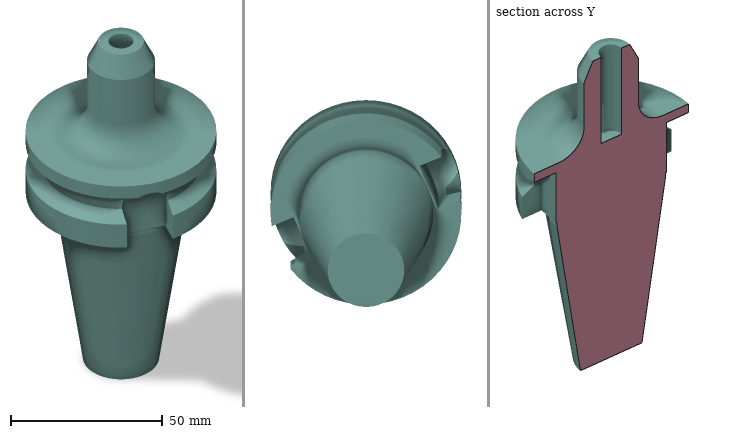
import cadquery as cq
import math

overall_height = 128.9

taper_length = 65.4
taper_large_radius = 22.2
taper_ratio = 7 / 24
taper_small_radius = taper_large_radius - taper_length * taper_ratio / 2

flange_radius = 63.0 / 2
flange_bottom = 67.4
flange_top = 92.4
groove_radius = 26.5
groove_center = 82.1
groove_floor_width = 4.9
groove_flank_angle = 30.0
groove_flank_rise = (flange_radius - groove_radius) * math.tan(math.radians(groove_flank_angle))
groove_floor_bottom = groove_center - groove_floor_width / 2
groove_floor_top = groove_center + groove_floor_width / 2

nose_radius = 11.2
nose_fillet = 10.0
tip_radius = 15.1 / 2
tip_length = 7.7

bore_diameter = 8.2
bore_depth = overall_height - flange_top

slot_width = 16.0
slot_top = 88.5
slot_floor_distance = 22.5


def make_body():
    """Revolve the half profile of the holder about Z."""
    arc_offset = nose_fillet * (1 - math.sqrt(0.5))
    profile = (
        cq.Workplane("XZ")
        .lineTo(taper_small_radius, 0)
        .lineTo(taper_large_radius, taper_length)
        .lineTo(taper_large_radius, flange_bottom)
        .lineTo(flange_radius, flange_bottom)
        .lineTo(flange_radius, groove_floor_bottom - groove_flank_rise)
        .lineTo(groove_radius, groove_floor_bottom)
        .lineTo(groove_radius, groove_floor_top)
        .lineTo(flange_radius, groove_floor_top + groove_flank_rise)
        .lineTo(flange_radius, flange_top)
        .lineTo(nose_radius + nose_fillet, flange_top)
        .threePointArc(
            (nose_radius + arc_offset, flange_top + arc_offset),
            (nose_radius, flange_top + nose_fillet),
        )
        .lineTo(nose_radius, overall_height - tip_length)
        .lineTo(tip_radius, overall_height)
        .lineTo(0, overall_height)
        .close()
    )
    return profile.revolve(360, (0, 0), (0, 1))


def make_bore():
    return (
        cq.Workplane("XY", origin=(0, 0, overall_height))
        .circle(bore_diameter / 2)
        .extrude(-bore_depth)
    )


def make_drive_slot(side):
    """Cutter for one drive slot; side is -1 or +1 along X."""
    half_width = slot_width / 2
    arc_center = slot_top - half_width
    slot_depth = flange_radius - slot_floor_distance
    return (
        cq.Workplane("YZ", origin=(side * slot_floor_distance, 0, 0))
        .moveTo(-half_width, flange_bottom)
        .lineTo(half_width, flange_bottom)
        .lineTo(half_width, arc_center)
        .threePointArc((0, slot_top), (-half_width, arc_center))
        .close()
        .extrude(side * slot_depth)
    )


result = make_body().cut(make_bore())
for side in (-1, 1):
    result = result.cut(make_drive_slot(side))